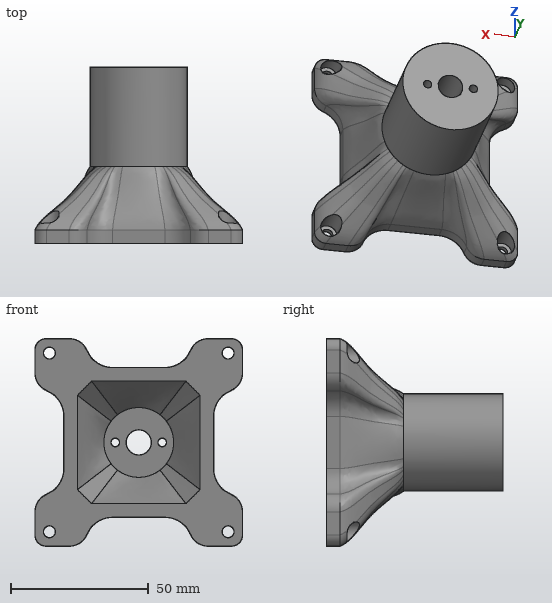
import cadquery as cq
import math

flange_width = 75.3
flange_thickness = 5.0
total_length = 64.0
tube_diameter = 35.3
flare_end = 28.0
wall = 5.0

flange_half = flange_width / 2
side_half = 27.2
corner_radius = 4.15
lobe_radius = 7.0
neck_radius = 10.0
neck_start = 9.5

pocket_half = side_half - wall
pocket_chamfer = 5.1
pocket_floor_diameter = 25.3

bolt_hole_diameter = 4.2
bolt_offset = 32.4
screw_head_diameter = 7.1
screw_seat = 2.0
centre_hole_diameter = 9.0
pin_hole_diameter = 3.0
pin_offset = 8.5

flare_steps = [(0, 0), (0.1, 0.06), (0.3, 0.27), (0.6, 0.6), (1, 1)]
straight_tolerance = 5.67e-07

neck_depth = flange_half - side_half
neck_turn = math.acos(1 - neck_depth / (lobe_radius + neck_radius))
lobe_start = neck_start + (lobe_radius + neck_radius) * math.sin(neck_turn)


def on_arc(centre, radius, angle):
    return (centre[0] + radius * math.cos(angle), centre[1] + radius * math.sin(angle))


def arc_points(centre, radius, start_angle, end_angle):
    """Start and middle points of an arc."""
    middle_angle = (start_angle + end_angle) / 2
    return on_arc(centre, radius, start_angle), on_arc(centre, radius, middle_angle)


def line_points(start, end):
    """Start and middle points of a straight edge."""
    return start, ((start[0] + end[0]) / 2, (start[1] + end[1]) / 2)


def turned(point, quarter_turns):
    """The point turned about the origin by a number of quarter turns."""
    x, z = point
    for _ in range(quarter_turns):
        x, z = -z, x
    return x, z


def flange_edges():
    """Edges of the flange outline as (start, middle) points, counter-clockwise from the +X side."""
    half_turn = math.pi
    quarter = math.pi / 2
    corner = flange_half - corner_radius
    lobe = flange_half - lobe_radius
    neck = side_half + neck_radius
    quadrant = [
        line_points((side_half, -neck_start), (side_half, neck_start)),
        arc_points((neck, neck_start), neck_radius, half_turn, half_turn - neck_turn),
        arc_points((lobe, lobe_start), lobe_radius, -neck_turn, 0),
        line_points((flange_half, lobe_start), (flange_half, corner)),
        arc_points((corner, corner), corner_radius, 0, quarter),
        line_points((corner, flange_half), (lobe_start, flange_half)),
        arc_points((lobe_start, lobe), lobe_radius, quarter, quarter + neck_turn),
        arc_points((neck_start, neck), neck_radius, neck_turn - quarter, -quarter),
    ]
    return [(turned(start, n), turned(middle, n)) for n in range(4) for start, middle in quadrant]


def pocket_edges():
    """Edges of the chamfered square pocket mouth as (start, middle) points."""
    flat = pocket_half - pocket_chamfer
    quadrant = [
        line_points((pocket_half, -flat), (pocket_half, flat)),
        line_points((pocket_half, flat), (flat, pocket_half)),
    ]
    return [(turned(start, n), turned(middle, n)) for n in range(4) for start, middle in quadrant]


def blended(point, radius, fraction):
    """The point moved by a fraction of the way, radially, onto a circle."""
    scale = 1 + fraction * (radius / math.hypot(*point) - 1)
    return cq.Vector(point[0] * scale, 0, point[1] * scale)


def section(edges, radius, fraction, y):
    """Closed wire at position y along the axis, part of the way from an outline to a circle."""
    lift = cq.Vector(0, y, 0)
    starts = [blended(start, radius, fraction) + lift for start, _ in edges]
    middles = [blended(middle, radius, fraction) + lift for _, middle in edges]
    ends = starts[1:] + starts[:1]
    wire_edges = []
    for start, middle, end in zip(starts, middles, ends):
        if (middle - start).cross(end - start).Length < straight_tolerance:
            wire_edges.append(cq.Edge.makeLine(start, end))
        else:
            wire_edges.append(cq.Edge.makeThreePointArc(start, middle, end))
    return cq.Wire.assembleEdges(wire_edges)


def prism(wire, length):
    return cq.Workplane(cq.Solid.extrudeLinear(wire, [], cq.Vector(0, length, 0)))


def cylinder(x, z, diameter, start, end):
    base = cq.Vector(x, start, z)
    return cq.Workplane(cq.Solid.makeCylinder(diameter / 2, end - start, base, cq.Vector(0, 1, 0)))


def make_flare():
    edges = flange_edges()
    length = flare_end - flange_thickness
    wires = [
        section(edges, tube_diameter / 2, change, flange_thickness + along * length)
        for along, change in flare_steps
    ]
    return cq.Workplane(cq.Solid.makeLoft(wires))


def make_pocket():
    edges = pocket_edges()
    radius = pocket_floor_diameter / 2
    mouth = prism(section(edges, radius, 0, 0), flange_thickness)
    taper = cq.Solid.makeLoft(
        [section(edges, radius, 0, flange_thickness), section(edges, radius, 1, flare_end)], True
    )
    return mouth.union(cq.Workplane(taper))


flange = prism(section(flange_edges(), tube_diameter / 2, 0, 0), flange_thickness)
tube = cylinder(0, 0, tube_diameter, flare_end, total_length)
result = flange.union(make_flare()).union(tube).cut(make_pocket())

result = result.cut(cylinder(0, 0, centre_hole_diameter, 0, total_length))
for x in (-pin_offset, pin_offset):
    result = result.cut(cylinder(x, 0, pin_hole_diameter, 0, total_length))

for x in (-bolt_offset, bolt_offset):
    for z in (-bolt_offset, bolt_offset):
        result = result.cut(cylinder(x, z, bolt_hole_diameter, 0, total_length))
        result = result.cut(cylinder(x, z, screw_head_diameter, screw_seat, total_length))